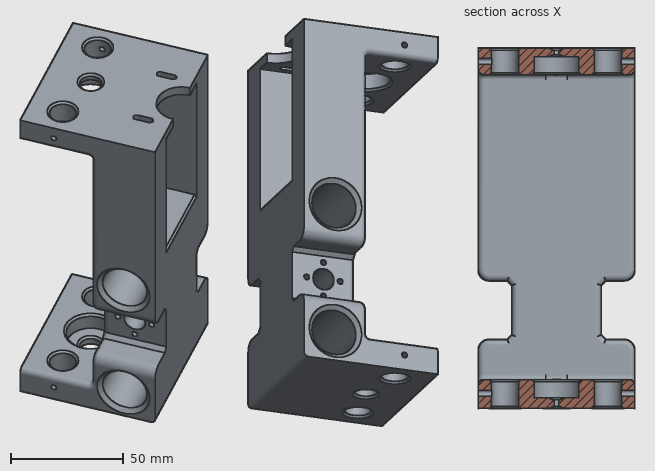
import cadquery as cq
import math

length = 64.0
width = 70.0
height = 161.0

bottom_plate = 13.0
top_plate = 12.0
wall_front = 34.0
inner_radius = 2.0
base_corner_radius = 2.0
edge_radius = 2.5
wall_middle = (wall_front + length) / 2

waist_z = 44.0
waist_half_height = 13.0
waist_depth = 15.0
waist_outer_radius = 5.0
waist_inner_chamfer = 2.0
waist_half_width = width / 2 - waist_depth

bore_heights = (14.0, 74.5)
bore_diameter = 21.0
bore_chamfer = 2.0
waist_hole_diameter = 10.0
screw_hole_diameter = 2.5
screw_hole_depth = 8.0
screw_circle_radius = 8.0

rod_hole_x = 16.0
rod_hole_y = 23.0
rod_hole_diameter = 12.0
spindle_x = 21.0
spindle_hole_diameter = 10.0
spindle_counterbore_diameter = 22.0
spindle_counterbore_depth = 8.0
foot_relief_radius = 1.5
hole_chamfer = 1.0

set_screw_x = 16.0
set_screw_heights = (7.0, height - 6.0)

lip_thickness = 4.5
pocket_front = 44.0
pocket_half_width = 20.0
pocket_floor = 90.0
pocket_floor_chamfer = 1.0
lip_notch_radius = 11.2
slot_x = 51.4
slot_y = 15.5
slot_length = 9.2
slot_width = 3.0

SIDES = (-1, 1)
margin = 0.5


def box(x_range, y_range, z_range):
    size = [end - start for start, end in (x_range, y_range, z_range)]
    corner = (x_range[0], y_range[0], z_range[0])
    return cq.Workplane("XY").box(*size, centered=False).translate(corner)


def edge_zone(x_range, y_range, z_range):
    """Selector for edges whose centre lies within the ranges, give or take the margin."""
    ranges = (x_range, y_range, z_range)
    low_corner = [start - margin for start, end in ranges]
    high_corner = [end + margin for start, end in ranges]
    return cq.selectors.BoxSelector(low_corner, high_corner)


def cylinder_along_z(x, y, diameter, bottom, top):
    return cq.Workplane("XY", origin=(x, y, bottom)).circle(diameter / 2).extrude(top - bottom)


def cylinder_along_y(x, z, diameter, start, end):
    """Cylinder between two Y positions, in either direction."""
    return cq.Workplane("XZ", origin=(x, start, z)).circle(diameter / 2).extrude(start - end)


def chamfer_cone(centre, direction, hole_diameter, size):
    """Cone that breaks the rim of a hole; direction points into the material."""
    rim_radius = hole_diameter / 2 + size
    return cq.Workplane(cq.Solid.makeCone(
        rim_radius, hole_diameter / 2, size, cq.Vector(*centre), cq.Vector(*direction)))


def make_body():
    """C-shaped body with its waist, rounded along the front inner edges."""
    ceiling = height - top_plate
    body = box((0, length), (-width / 2, width / 2), (0, height))
    body = body.cut(box((0, wall_front), (-width / 2, width / 2), (bottom_plate, ceiling)))
    body = body.edges("|Y").edges(edge_zone(
        (wall_front, wall_front), (0, 0), (bottom_plate, ceiling))).fillet(inner_radius)

    low, high = waist_z - waist_half_height, waist_z + waist_half_height
    for side in SIDES:
        y_range = sorted((side * waist_half_width, side * width / 2))
        body = body.cut(box((wall_front, length), y_range, (low, high)))

    def waist_corners(y):
        """Edges along X where the waist floor (or the side face) meets the notch ends."""
        return body.edges("|X").edges(edge_zone((wall_front, length), (y, y), (low, high)))

    for side in SIDES:
        body = waist_corners(side * waist_half_width).chamfer(waist_inner_chamfer)
        body = waist_corners(side * width / 2).fillet(waist_outer_radius)

    foot_clearance = inner_radius + 2 * margin
    wall_outline = edge_zone(
        (wall_front, wall_front), (-width / 2, width / 2),
        (bottom_plate + foot_clearance, ceiling - foot_clearance))
    body = body.edges(wall_outline).fillet(edge_radius)
    return body.edges("|Y and >X and <Z").fillet(base_corner_radius)


def foot_relief(plate_face, direction, rim_radius):
    """Cutter that leaves a tighter foot radius where the counterbore rim meets the wall foot."""
    foot_start = wall_front - inner_radius
    half_span = math.sqrt(rim_radius**2 - (foot_start - spindle_x) ** 2)
    arc_offset = foot_relief_radius * (1 - math.sqrt(0.5))
    foot_top = plate_face + direction * inner_radius
    return (
        cq.Workplane("XZ", origin=(0, half_span, 0))
        .moveTo(foot_start, plate_face)
        .lineTo(wall_front - foot_relief_radius, plate_face)
        .threePointArc(
            (wall_front - arc_offset, plate_face + direction * arc_offset),
            (wall_front, plate_face + direction * foot_relief_radius))
        .lineTo(wall_front, foot_top)
        .lineTo(foot_start, foot_top)
        .close()
        .extrude(2 * half_span)
    )


def cut_plate_holes(body):
    """Rod holes and counterbored spindle holes through both plates."""
    plates = ((0, bottom_plate, 0, bottom_plate), (height, height - top_plate, height - top_plate, height))
    for outer, inner, bottom, top in plates:
        into_plate = 1 if inner > outer else -1
        holes = [(rod_hole_x, side * rod_hole_y, rod_hole_diameter, inner) for side in SIDES]
        counterbore_floor = inner - into_plate * spindle_counterbore_depth
        holes.append((spindle_x, 0, spindle_hole_diameter, counterbore_floor))
        for x, y, diameter, inner_rim in holes:
            body = body.cut(cylinder_along_z(x, y, diameter, bottom, top))
            body = body.cut(chamfer_cone((x, y, outer), (0, 0, into_plate), diameter, hole_chamfer))
            body = body.cut(chamfer_cone((x, y, inner_rim), (0, 0, -into_plate), diameter, hole_chamfer))
        bore_range = sorted((counterbore_floor, inner))
        body = body.cut(cylinder_along_z(spindle_x, 0, spindle_counterbore_diameter, *bore_range))
        body = body.cut(chamfer_cone(
            (spindle_x, 0, inner), (0, 0, -into_plate), spindle_counterbore_diameter, hole_chamfer))
        rim_radius = spindle_counterbore_diameter / 2 + hole_chamfer
        rim_range = sorted((inner, inner + into_plate * inner_radius))
        body = body.cut(foot_relief(inner, into_plate, rim_radius))
        body = body.cut(cylinder_along_z(spindle_x, 0, 2 * rim_radius, *rim_range))
    return body


def cut_cross_bores(body):
    for z in bore_heights:
        body = body.cut(cylinder_along_y(wall_middle, z, bore_diameter, -width / 2, width / 2))
        for face in SIDES:
            rim = (wall_middle, face * width / 2, z)
            body = body.cut(chamfer_cone(rim, (0, -face, 0), bore_diameter, bore_chamfer))
    return body


def cut_side_holes(body):
    """Waist hole with its four screw holes, and the set screw holes in the plates."""
    body = body.cut(cylinder_along_y(
        wall_middle, waist_z, waist_hole_diameter, -waist_half_width, waist_half_width))
    screws = []
    for side in SIDES:
        screws.append((wall_middle + side * screw_circle_radius, waist_z, waist_half_width))
        screws.append((wall_middle, waist_z + side * screw_circle_radius, waist_half_width))
    for z in set_screw_heights:
        screws.append((set_screw_x, z, width / 2))
    for x, z, face in screws:
        for side in SIDES:
            hole_end = side * (face - screw_hole_depth)
            body = body.cut(cylinder_along_y(x, z, screw_hole_diameter, side * face, hole_end))
    return body


def cut_back_pocket(body):
    """Pocket open to the back, with the notched and slotted lip above it."""
    lip_bottom = height - lip_thickness
    pocket = box(
        (pocket_front, length), (-pocket_half_width, pocket_half_width), (pocket_floor, lip_bottom))
    body = body.cut(pocket)
    floor_edge = edge_zone((length, length), (0, 0), (pocket_floor, pocket_floor))
    body = body.edges(floor_edge).chamfer(pocket_floor_chamfer)
    body = body.cut(cylinder_along_z(length, 0, 2 * lip_notch_radius, lip_bottom, height))
    slots = (
        cq.Workplane("XY", origin=(0, 0, lip_bottom))
        .pushPoints([(slot_x, side * slot_y) for side in SIDES])
        .slot2D(slot_length, slot_width)
        .extrude(lip_thickness)
    )
    return body.cut(slots)


result = make_body()
result = cut_plate_holes(result)
result = cut_cross_bores(result)
result = cut_side_holes(result)
result = cut_back_pocket(result)